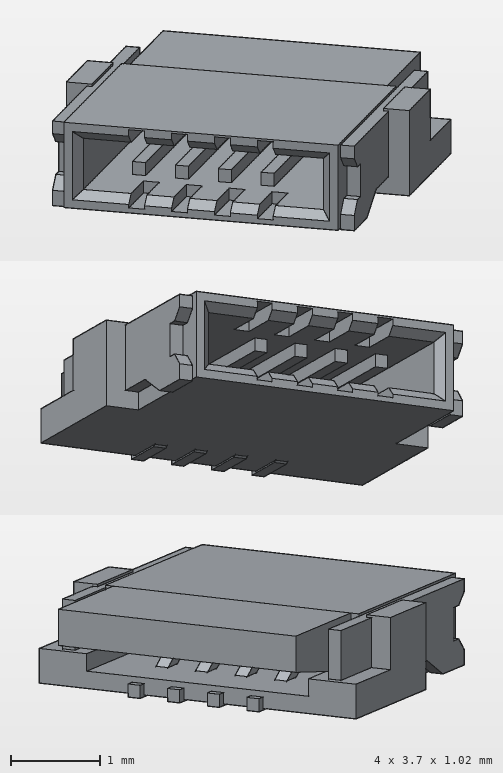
import cadquery as cq


height = 1.0
core_width = 3.2
overall_width = 4.0
core_length = 2.36
base_rear = 3.2
ledge_height = 0.4
ear_front = 1.5
ear_inner_top_x = 1.7

cavity_width = 2.8
cavity_floor = 0.2
cavity_roof = height - cavity_floor
mouth_taper = 0.1

pin_count = 4
pin_pitch = 0.5
pin_width = 0.15
pin_thickness = pin_width
pin_tip_y = mouth_taper
pin_tip_bottom = 0.425
pin_bend_y = 2.06
tail_bend_y = 2.72
tail_end_y = 3.3
solder_drop = 0.02
groove_width = 0.185
groove_bottom = 0.06
groove_top = 0.975
groove_rear = 0.6

clip_thickness = 0.16
clip_top = 0.97
clip_underside = 0.21
clip_front = 0.1
clip_rear = 3.1
hook_rear = 0.62
hook_ramp_end = 1.0
notch_depth_y = 0.35
notch_corner_y = 0.23
notch_bottom = 0.31
notch_top = 0.69
lower_jaw_height = 0.16
upper_jaw_height = 0.825

lever_width = 3.0
lever_rear = 3.7
lever_bottom = ledge_height
lever_rear_bottom = 0.585
lever_slope_length = 1.0

pin_centres = [(i - (pin_count - 1) / 2) * pin_pitch for i in range(pin_count)]


def block(width, y_range, z_range, x_centre=0.0):
    """Box centred on x_centre, spanning the given Y and Z ranges."""
    (y0, y1), (z0, z1) = y_range, z_range
    return cq.Workplane("XY").box(width, y1 - y0, z1 - z0, centered=(True, False, False)).translate(
        (x_centre, y0, z0)
    )


def side_profile(points, width, x_centre):
    """Extrude a (Y, Z) outline along X, centred on x_centre."""
    return cq.Workplane("YZ", origin=(x_centre - width / 2, 0, 0)).polyline(points).close().extrude(width)


def make_pin(x_centre):
    """Flat solder tail, a sloping riser and a straight contact beam."""
    tail_bottom = -solder_drop
    outline = [
        (pin_tip_y, pin_tip_bottom),
        (pin_bend_y, pin_tip_bottom),
        (tail_bend_y, tail_bottom),
        (tail_end_y, tail_bottom),
        (tail_end_y, tail_bottom + pin_thickness),
        (tail_bend_y, tail_bottom + pin_thickness),
        (pin_bend_y, pin_tip_bottom + pin_thickness),
        (pin_tip_y, pin_tip_bottom + pin_thickness),
    ]
    return side_profile(outline, pin_width, x_centre)


def make_clip(side):
    """Upright side plate with a notched front edge and a hook under it."""
    outline = [
        (clip_rear, clip_underside),
        (hook_ramp_end, clip_underside),
        (hook_rear, -solder_drop),
        (clip_front, -solder_drop),
        (clip_front, lower_jaw_height),
        (notch_corner_y, notch_bottom),
        (notch_depth_y, notch_bottom),
        (notch_depth_y, notch_top),
        (notch_corner_y, notch_top),
        (clip_front, upper_jaw_height),
        (clip_front, clip_top),
        (clip_rear, clip_top),
    ]
    return side_profile(outline, clip_thickness, side * (core_width + clip_thickness) / 2)


def make_lever():
    """Rear lever whose underside rises towards its free end."""
    outline = [
        (core_length, lever_bottom),
        (lever_rear - lever_slope_length, lever_bottom),
        (lever_rear, lever_rear_bottom),
        (lever_rear, height),
        (core_length, height),
    ]
    return side_profile(outline, lever_width, 0)


def make_mouth():
    """Tapered entry that narrows from the mating face to the cavity."""
    cavity_height = cavity_roof - cavity_floor
    return (
        cq.Workplane("XZ", origin=(0, 0, height / 2))
        .rect(cavity_width + 2 * mouth_taper, cavity_height + 2 * mouth_taper)
        .workplane(offset=-mouth_taper)
        .rect(cavity_width, cavity_height)
        .loft(ruled=True)
    )


def make_housing(inserts):
    """Shell, side ears and rear base, with seats cut for the inserted bodies."""
    body = block(core_width, (0, core_length), (0, height))
    body = body.union(block(overall_width, (ear_front, core_length), (0, height)))
    body = body.union(block(overall_width, (ear_front, base_rear), (0, ledge_height)))

    slot_width = ear_inner_top_x - core_width / 2
    for side in (-1, 1):
        slot_x = side * (core_width + slot_width) / 2
        body = body.cut(block(slot_width, (ear_front, core_length), (clip_top, height), slot_x))

    body = body.cut(block(cavity_width, (0, base_rear), (cavity_floor, cavity_roof)))
    body = body.cut(make_mouth())

    for x in pin_centres:
        body = body.cut(block(groove_width, (0, groove_rear), (groove_bottom, groove_top), x))

    for insert in inserts:
        body = body.cut(insert)
    return body


pins = [make_pin(x) for x in pin_centres]
clips = [make_clip(side) for side in (-1, 1)]
lever = make_lever()
housing = make_housing(pins + clips)

inserted_solids = [body.val() for body in pins + clips]
result = cq.Compound.makeCompound([housing.val(), lever.val(), *inserted_solids])